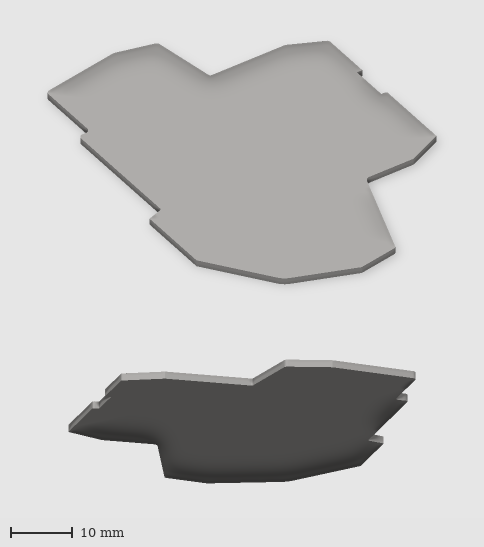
import cadquery as cq

length = 70.4
depth = 51.1
thickness = 1.2

block_left = 13.9
block_right = 51.0
shoulder_y = 44.55
shoulder_run = 3.0

notch_left = 26.55
notch_width = 7.05
notch_depth = 1.05
notch_right = notch_left + notch_width
notch_floor = depth - notch_depth

left_root_y = 29.8
left_shoulder = (1.75, 27.75)
left_tip = (0, 20.3)
left_foot_x = 2.5
right_root_y = 35.2
right_shoulder = (69.1, 28.7)
right_tip = (length, 21.2)
right_lower = (65.9, 8.9)

left_step_x = 15.3
left_step_y = 5.3
middle_y = 2.95
foot_top_x = 39.2
foot_left = 40.2
foot_right = 53.8

corners = [
    ((foot_left, 0), 0),
    ((foot_right, 0), 0),
    (right_lower, 3.5),
    (right_tip, 0),
    (right_shoulder, 0.55),
    ((block_right, right_root_y), 1.05),
    ((block_right, shoulder_y), 0),
    ((block_right - shoulder_run, depth), 0),
    ((notch_right, depth), 0.35),
    ((notch_right, notch_floor), 0),
    ((notch_left, notch_floor), 0),
    ((notch_left, depth), 0),
    ((block_left + shoulder_run, depth), 0.4),
    ((block_left, shoulder_y), 0),
    ((block_left, left_root_y), 0.35),
    (left_shoulder, 0.6),
    (left_tip, 0),
    ((left_foot_x, left_step_y), 0.85),
    ((left_step_x, left_step_y), 0.85),
    ((left_step_x, middle_y), 0.85),
    ((foot_top_x, middle_y), 0.35),
]


def round_corner(plate, corner, radius):
    """Round the upright edge of the plate at one outline corner."""
    edge = plate.edges("|Z").edges(cq.selectors.NearestToPointSelector((*corner, thickness / 2)))
    return edge.fillet(radius)


result = cq.Workplane("XY").polyline([corner for corner, _ in corners]).close().extrude(thickness)
for corner, radius in corners:
    if radius > 0:
        result = round_corner(result, corner, radius)